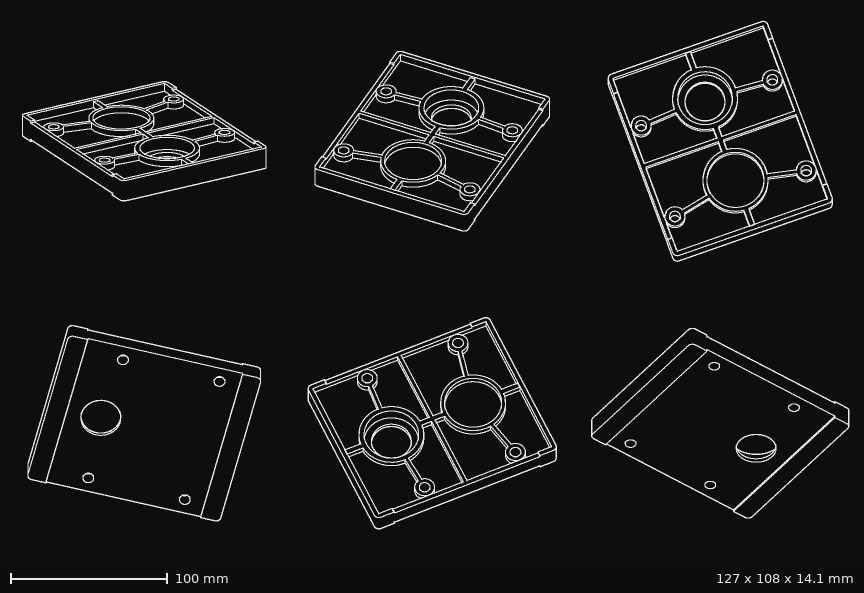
import cadquery as cq
import math

length = 127.0
width = 108.0
height = 14.1
wall = 3.0
corner_radius = 3.2

relief_length = 101.9
relief_depth = 1.3

floor_top = 8.6
rib_top = height - relief_depth

center_rib_thickness = 2.5
cross_rib_thickness = 3.4
boss_rib_thickness = 2.5

ring_offset = 28.6
ring_radius = 20.7
blind_ring_bore_radius = 18.2
open_ring_bore_radius = 17.4
opening_radius = 12.7
ledge_thickness = 3.0
ledge_top = relief_depth + ledge_thickness

boss_radius = 6.4
boss_hole_radius = 3.4
boss_y = 44.5
left_boss_x = -38.1
right_boss_x = 25.4

inner_length = length - 2 * wall
inner_width = width - 2 * wall
rib_height = rib_top - floor_top
bosses = [
    (boss_x, side * boss_y, ring_x)
    for boss_x, ring_x in ((left_boss_x, -ring_offset), (right_boss_x, ring_offset))
    for side in (-1, 1)
]


def block(size_x, size_y, bottom, top):
    """Box centered in X and Y between two heights."""
    return cq.Workplane("XY").workplane(offset=bottom).rect(size_x, size_y).extrude(top - bottom)


def cylinder(x, y, radius, bottom, top):
    """Upright cylinder between two heights."""
    return cq.Workplane("XY").workplane(offset=bottom).center(x, y).circle(radius).extrude(top - bottom)


def boss_rib(boss_x, boss_y_position, ring_x):
    """Rib running from a boss axis to the axis of its ring."""
    run_x = ring_x - boss_x
    run_y = -boss_y_position
    return (
        cq.Workplane("XY")
        .box(math.hypot(run_x, run_y), boss_rib_thickness, rib_height, centered=(False, True, False))
        .rotate((0, 0, 0), (0, 0, 1), math.degrees(math.atan2(run_y, run_x)))
        .translate((boss_x, boss_y_position, floor_top))
    )


result = block(length, width, 0, height).edges("|Z").fillet(corner_radius)
result = result.cut(block(inner_length, inner_width, floor_top, height))

result = result.cut(block(relief_length, width, rib_top, height))
result = result.cut(block(relief_length, width, 0, relief_depth))

result = result.union(block(center_rib_thickness, inner_width, floor_top, rib_top))
result = result.union(block(inner_length, cross_rib_thickness, floor_top, rib_top))

for boss_x, y, ring_x in bosses:
    result = result.union(cylinder(boss_x, y, boss_radius, floor_top, rib_top))
    result = result.union(boss_rib(boss_x, y, ring_x))

for ring_x in (-ring_offset, ring_offset):
    result = result.union(cylinder(ring_x, 0, ring_radius, floor_top, rib_top))

result = result.cut(cylinder(-ring_offset, 0, blind_ring_bore_radius, floor_top, rib_top))
result = result.cut(cylinder(ring_offset, 0, open_ring_bore_radius, ledge_top, rib_top))
result = result.cut(cylinder(ring_offset, 0, opening_radius, 0, rib_top))
for boss_x, y, _ in bosses:
    result = result.cut(cylinder(boss_x, y, boss_hole_radius, 0, rib_top))